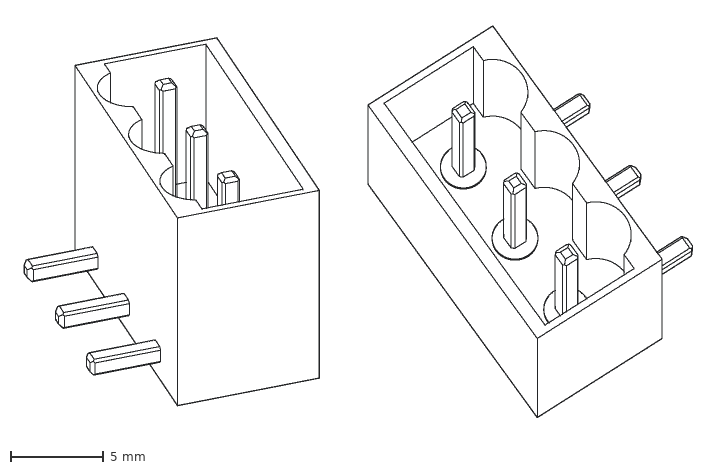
import cadquery as cq

housing_width = 16.4
housing_depth = 8.2
housing_height = 12.1

side_wall = 0.41
rear_wall = 0.79
front_wall = 1.55
floor_height = 3.45

bay_radius = 1.92
bay_front_wall = 0.26

collar_radius = 1.25
collar_height = 0.16

pin_pitch = 5.0
pin_size = 1.02
side_chamfer = 0.15
pin_axis_height = 1.6
contact_tip_height = housing_height
solder_tail_length = 4.0

tip_chamfers = [0.26, 0.26, 0.21]
pin_positions = [-pin_pitch, 0.0, pin_pitch]
front_y = -housing_depth / 2


def make_housing():
    """Plain rectangular block standing on Z = 0."""
    return cq.Workplane("XY").box(
        housing_width, housing_depth, housing_height, centered=(True, True, False)
    )


def make_cavity():
    """Rectangular pocket plus one round bay in front of each pin."""
    pocket_width = housing_width - 2 * side_wall
    pocket_depth = housing_depth - front_wall - rear_wall
    pocket_front = front_y + front_wall
    cavity_height = housing_height - floor_height
    floor = cq.Workplane("XY").workplane(offset=floor_height)
    pocket_center = (0, pocket_front + pocket_depth / 2)
    pocket_outline = floor.pushPoints([pocket_center]).rect(pocket_width, pocket_depth)
    pocket = pocket_outline.extrude(cavity_height, combine=False)
    bay_centers = [(x, front_y + bay_front_wall + bay_radius) for x in pin_positions]
    bays = floor.pushPoints(bay_centers).circle(bay_radius).extrude(cavity_height, combine=False)
    return pocket.union(bays)


def make_collars():
    """Low round collars standing on the cavity floor."""
    floor = cq.Workplane("XY").workplane(offset=floor_height)
    centers = [(x, 0) for x in pin_positions]
    return floor.pushPoints(centers).circle(collar_radius).extrude(collar_height)


def make_straight_pin(length, tip_chamfer):
    """Square bar rising from the origin: mitred tip faces, then narrower chamfers along the sides."""
    bar = cq.Workplane("XY").box(pin_size, pin_size, length, centered=(True, True, False))
    pointed_bar = bar.faces(">Z").chamfer(tip_chamfer)
    eight_sided_bar = bar.edges("|Z").chamfer(side_chamfer)
    return pointed_bar.intersect(eight_sided_bar)


def make_pin(x, tip_chamfer):
    """Upright contact in the cavity and a solder tail leaving the front face."""
    contact = make_straight_pin(contact_tip_height - pin_axis_height, tip_chamfer)
    tail = make_straight_pin(housing_depth / 2 + solder_tail_length, tip_chamfer)
    tail = tail.rotate((0, 0, 0), (1, 0, 0), 90)
    return contact.union(tail).translate((x, 0, pin_axis_height))


result = make_housing().cut(make_cavity()).union(make_collars())
for pin_x, pin_tip_chamfer in zip(pin_positions, tip_chamfers):
    result = result.union(make_pin(pin_x, pin_tip_chamfer))